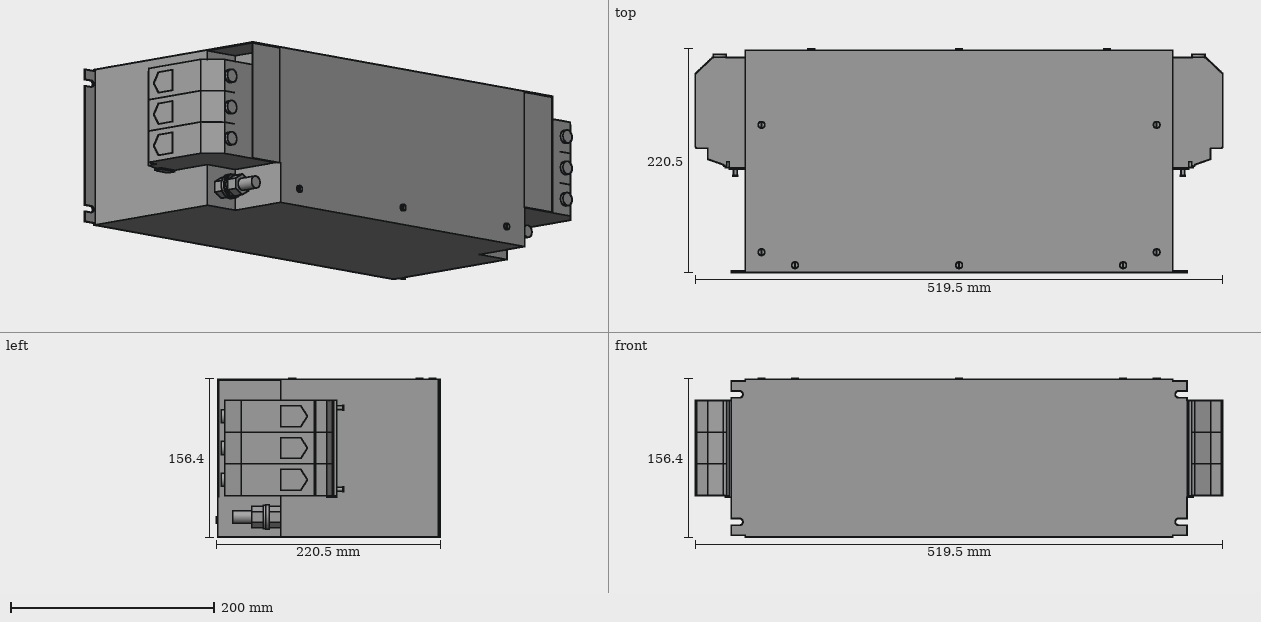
import cadquery as cq
import math

overall_width = 519.5
overall_depth = 220.47
overall_height = 156.37

case_width = 421.0
case_depth = 219.1
case_height = 155.5
case_left = -case_width / 2
case_top = case_height / 2

panel_width = 449.0
panel_thickness = 2.0
tab_height = 152.0
slot_width = 6.5
slot_length = 11.6
slot_spacing = 125.5

sheet = 1.0
recess_width = 39.0
recess_depth = 62.5
rear_flap_height = 116.0
rear_flap_bottom = case_top - rear_flap_height

pole_count = 3
pole_pitch = 31.3
block_height = pole_count * pole_pitch
block_center_z = 9.9
block_bottom = block_center_z - block_height / 2
block_outer = -overall_width / 2
block_rear = case_depth - 7.3
chamfer_left = -242.8
block_corner = case_depth - 23.4
block_front = case_depth - 96.8
edge_chamfer = 1.5
step_left = -247.6
step_front = case_depth - 107.5
slope_left = -232.0
slope_front = case_depth - 113.0
lip_front = case_depth - 114.6
lip_right = -228.8
lip_center = (slope_left + lip_right) / 2
groove_bottom = case_depth - 110.0
groove_right = -226.0
seam = 0.1

strip_front = case_depth - 117.2
strip_rear = case_depth - 115.7
strip_drop = 1.5
strip_top_gap = 0.1
strip_screw_x = -220.3
strip_screw_spacing = 80.5
strip_screw_inset = 7.2
strip_screw_shank = 4.0
strip_screw_tip = 5.0
strip_screw_length = 7.0
strip_screw_tip_length = 1.0

cap_diameter = 13.0
cap_height = 3.4
cap_x = -235.6
arrow_height = 20.5
arrow_rear = case_depth - 62.5
arrow_shoulder = case_depth - 82.0
arrow_tip = case_depth - 88.5
arrow_depth = 0.5

stud_x = case_left + recess_width / 2
stud_z = -58.0
stud_diameter = 12.0
stud_end = case_depth - 15.0
nut_flats = 18.0
nut_corners = nut_flats / math.cos(math.pi / 6)
nut_height = 11.5
washer_diameter = 24.0
washer_height = 3.5
spring_washer_diameter = 23.0
spring_washer_height = 2.5

screw_diameter = 6.5
top_screw_height = overall_height - case_height
rear_screw_height = overall_depth - case_depth
screw_slot = 0.5
side_screw_x = 194.5
side_screw_y = (case_depth - 199.0, case_depth - 73.6)
front_screw_x = 161.5
front_screw_y = case_depth - 211.8
rear_screw_x = 145.5
rear_screw_z = -61.0


def box(x0, x1, y0, y1, z0, z1):
    """Box between two opposite corners."""
    return cq.Workplane("XY").box(x1 - x0, y1 - y0, z1 - z0, centered=False).translate((x0, y0, z0))


def cylinder_to_rear(x, y, z, diameter, length):
    """Cylinder that starts at the given point and runs along +Y."""
    return cq.Workplane("XZ", origin=(x, y, z)).circle(diameter / 2).extrude(-length)


def nut_to_rear(x, y, z):
    """Hexagon nut with corners at top and bottom, running along +Y."""
    hexagon = cq.Workplane("XZ", origin=(x, y, z)).transformed(rotate=(0, 0, 90))
    return hexagon.polygon(6, nut_corners).extrude(-nut_height)


def both_ends(shape):
    """The shape together with its mirror image at the +X end."""
    return shape.union(shape.mirror("YZ"))


def make_case():
    """Solid case with the wider front panel."""
    body = box(case_left, -case_left, 0, case_depth, -case_top, case_top)
    panel = box(-panel_width / 2, panel_width / 2, 0, panel_thickness, -tab_height / 2, tab_height / 2)
    return body.union(panel)


def make_panel_slots():
    """Open slots with a round inner end in the left tabs."""
    end_x = -panel_width / 2 + slot_length - slot_width / 2
    slots = cq.Workplane("XY")
    for z in (-slot_spacing / 2, slot_spacing / 2):
        straight = box(-panel_width / 2, end_x, 0, panel_thickness, z - slot_width / 2, z + slot_width / 2)
        slots = slots.union(straight).union(cylinder_to_rear(end_x, 0, z, slot_width, panel_thickness))
    return slots


def make_recess():
    """Space removed at the left rear corner, inside the top sheet and the rear flap."""
    front = case_depth - recess_depth
    right = case_left + recess_width
    inside = box(case_left, right, front, case_depth - sheet, -case_top, case_top - sheet)
    below_flap = box(case_left, right, front, case_depth, -case_top, rear_flap_bottom)
    return inside.union(below_flap)


def block_outline(inset):
    """Terminal block outline, seen from above, with its outer faces moved in by the inset."""
    inner = case_left + recess_width
    outline = (
        cq.Workplane("XY", origin=(0, 0, block_bottom))
        .moveTo(inner, block_rear)
        .lineTo(chamfer_left, block_rear)
        .lineTo(block_outer, block_corner)
        .lineTo(block_outer, block_front + edge_chamfer)
        .lineTo(block_outer + edge_chamfer, block_front)
        .lineTo(step_left, block_front)
        .lineTo(step_left, step_front)
        .lineTo(slope_left, slope_front)
        .threePointArc((lip_center, lip_front), (lip_right, slope_front))
        .lineTo(lip_right, groove_bottom)
        .lineTo(groove_right, groove_bottom)
        .lineTo(groove_right, strip_rear)
        .lineTo(inner, strip_rear)
        .close()
    )
    return outline.offset2D(-inset) if inset else outline


def make_seams():
    """Thin grooves around the outside of the block, between neighbouring poles."""
    ring = block_outline(0).extrude(seam).cut(block_outline(seam).extrude(seam))
    ring = ring.intersect(box(block_outer, lip_right, 0, case_depth, block_bottom, block_bottom + seam))
    seams = cq.Workplane("XY")
    for i in range(1, pole_count):
        seams = seams.union(ring.translate((0, 0, i * pole_pitch - seam / 2)))
    return seams


def make_arrow(z):
    """Arrow-shaped pocket on the outer face of a pole, pointing to the front."""
    half = arrow_height / 2
    return (
        cq.Workplane("YZ", origin=(block_outer, 0, z))
        .moveTo(arrow_rear, -half)
        .lineTo(arrow_rear, half)
        .lineTo(arrow_shoulder, half)
        .lineTo(arrow_tip, 0)
        .lineTo(arrow_shoulder, -half)
        .close()
        .extrude(arrow_depth)
    )


def make_strip():
    """Mounting strip with its two screws and a foot that closes the groove from below."""
    top = block_bottom + block_height
    foot_bottom = block_bottom - strip_drop
    strip = box(groove_right, case_left, strip_front, strip_rear, foot_bottom, top - strip_top_gap)
    strip = strip.union(box(lip_center, case_left, strip_rear, step_front, foot_bottom, block_bottom))
    tip_y = strip_front - strip_screw_length
    upper_z = top - strip_screw_inset
    for z in (upper_z, upper_z - strip_screw_spacing):
        strip = strip.union(cylinder_to_rear(strip_screw_x, tip_y, z, strip_screw_shank, strip_screw_length))
        strip = strip.union(
            cylinder_to_rear(strip_screw_x, tip_y, z, strip_screw_tip, strip_screw_tip_length)
        )
    return strip


def make_terminal_block():
    """Left terminal block, complete with caps, pockets and mounting strip."""
    block = block_outline(0).extrude(block_height).cut(make_seams())
    for i in range(pole_count):
        z = block_bottom + (i + 0.5) * pole_pitch
        block = block.union(cylinder_to_rear(cap_x, block_rear, z, cap_diameter, cap_height))
        block = block.cut(make_arrow(z))
    return block.union(make_strip())


def make_earth_stud():
    """Stud with two nuts and the washers clamped between them."""
    base = case_depth - recess_depth
    stud = cylinder_to_rear(stud_x, base, stud_z, stud_diameter, stud_end - base)
    stud = stud.union(nut_to_rear(stud_x, base, stud_z))
    y = base + nut_height
    stud = stud.union(cylinder_to_rear(stud_x, y, stud_z, washer_diameter, washer_height))
    y += washer_height
    stud = stud.union(cylinder_to_rear(stud_x, y, stud_z, spring_washer_diameter, spring_washer_height))
    y += spring_washer_height
    return stud.union(nut_to_rear(stud_x, y, stud_z))


def make_screw_head(height):
    """Slotted screw head standing on Z = 0."""
    head = cq.Workplane("XY").circle(screw_diameter / 2).extrude(height)
    slot = cq.Workplane("XY", origin=(0, 0, height / 2)).rect(screw_slot, screw_diameter).extrude(height)
    return head.cut(slot)


def make_case_screws():
    """Screw heads on the top and on the rear of the case."""
    top_head = make_screw_head(top_screw_height)
    rear_head = make_screw_head(rear_screw_height).rotate((0, 0, 0), (1, 0, 0), -90)
    top_places = [(x, y) for x in (-side_screw_x, side_screw_x) for y in side_screw_y]
    top_places += [(x, front_screw_y) for x in (-front_screw_x, 0, front_screw_x)]
    screws = cq.Workplane("XY")
    for x, y in top_places:
        screws = screws.union(top_head.translate((x, y, case_top)))
    for x in (-rear_screw_x, 0, rear_screw_x):
        screws = screws.union(rear_head.translate((x, case_depth, rear_screw_z)))
    return screws


result = (
    make_case()
    .cut(both_ends(make_panel_slots()))
    .cut(both_ends(make_recess()))
    .union(both_ends(make_terminal_block()))
    .union(both_ends(make_earth_stud()))
    .union(make_case_screws())
)